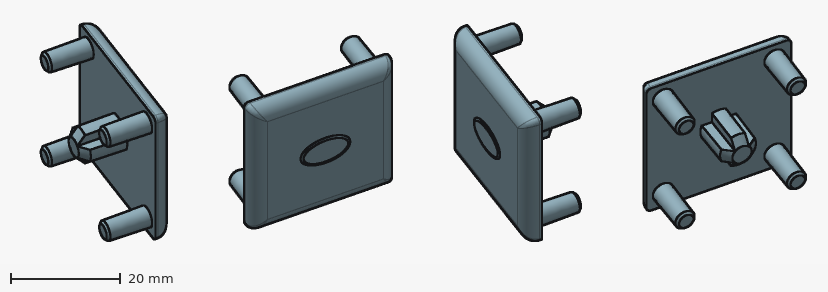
import cadquery as cq

plate_side = 29.8
plate_thickness = 3.5
edge_radius = 2.98
corner_radius = 1.0

pad_width = 10.2
pad_height = 6.1
pad_rise = 0.2
pad_rim = 0.5

reach = 9.0

pin_spacing = 22.95
pin_base_diameter = 4.23
pin_end_diameter = 4.0
pin_tip_diameter = 2.98
pin_chamfer_length = 0.5

plug_base_diameter = 7.63
plug_end_diameter = 7.4
plug_tip_diameter = 4.0
plug_chamfer_length = 1.58
plug_arm_width = 2.85


def make_plate():
    """Square plate with rounded back edges and softened corners."""
    plate = (
        cq.Workplane("XY")
        .box(plate_side, plate_thickness, plate_side)
        .translate((0, plate_thickness / 2, 0))
        .faces(">Y").edges().fillet(edge_radius)
    )
    return plate.edges("|Y").fillet(corner_radius)


def make_pad():
    """Raised oval on the back face with a sloping rim."""
    back_plane = cq.Workplane("XZ", origin=(0, plate_thickness, 0))
    return (
        back_plane
        .ellipse(pad_width / 2, pad_height / 2)
        .workplane(offset=-pad_rise)
        .ellipse(pad_width / 2 - pad_rim, pad_height / 2 - pad_rim)
        .loft()
    )


def make_tapered_stud(base_diameter, end_diameter, tip_diameter, chamfer_length):
    """Round stud along -Y that tapers slightly and ends in a chamfer."""
    return (
        cq.Workplane("XY")
        .polyline([
            (0, 0),
            (base_diameter / 2, 0),
            (end_diameter / 2, chamfer_length - reach),
            (tip_diameter / 2, -reach),
            (0, -reach),
        ])
        .close()
        .revolve(360, (0, 0, 0), (0, 1, 0))
    )


def make_plug():
    """Tapered stud trimmed to two crossing arms."""
    stud = make_tapered_stud(
        plug_base_diameter, plug_end_diameter, plug_tip_diameter, plug_chamfer_length
    )
    arm_x = cq.Workplane("XY").box(plug_base_diameter, 2 * reach, plug_arm_width)
    arm_z = cq.Workplane("XY").box(plug_arm_width, 2 * reach, plug_base_diameter)
    return stud.intersect(arm_x.union(arm_z))


result = make_plate().union(make_pad()).union(make_plug())

pin = make_tapered_stud(
    pin_base_diameter, pin_end_diameter, pin_tip_diameter, pin_chamfer_length
)
for pin_x in (-pin_spacing / 2, pin_spacing / 2):
    for pin_z in (-pin_spacing / 2, pin_spacing / 2):
        result = result.union(pin.translate((pin_x, 0, pin_z)))